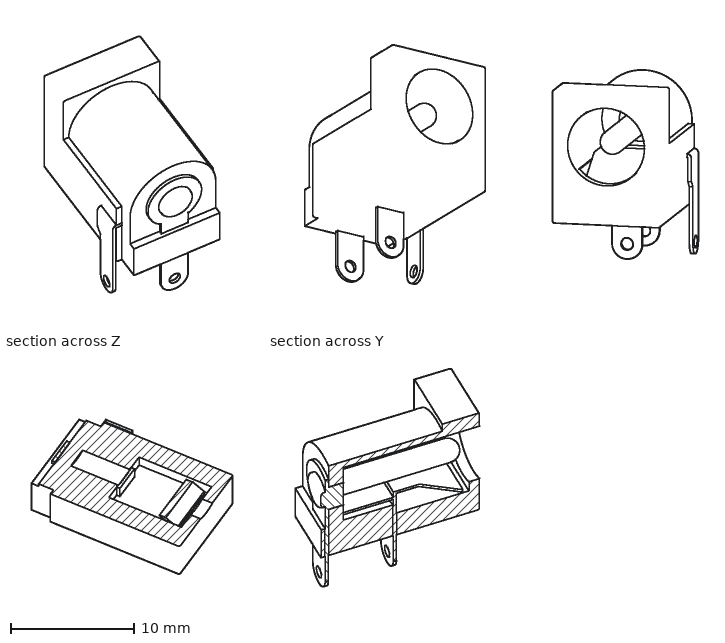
import cadquery as cq
import math


front_height = 11.0
front_depth = 3.3
base_width = 9.0
base_length = 12.0
edge_radius = 0.2
barrel_radius = 4.0
barrel_axis_z = 6.4
barrel_length = 13.35
foot_length = 14.0
foot_height = 3.2
barrel_width = 2 * barrel_radius

bore_radius = 3.2
bore_axis_z = 6.5
bore_depth = 12.0

sheet = 0.3
terminal_bottom_z = -4.1
terminal_hole_radius = 0.5
pin_terminal_width = 2.5

pin_radius = 1.0
pin_tip_x = 1.3
shoulder_radius = 1.75
plate_radius = 2.5
rivet_radius = 1.5
rivet_end_x = 14.05
rivet_rounding = 0.25
plate_back_x = barrel_length + sheet

leaf_width = 4.5
leaf_top_z = 5.0
leaf_tip_x = 1.47
leaf_tip_z = 2.87
leaf_angle = math.radians(29)
leaf_bend_radius = 0.8
sleeve_terminal_x = 7.33

tab_start_x = 9.5
tab_end_x = 12.0
tab_leg_width = 2.0
tab_step_top_z = 2.1
tab_outer_y = -4.85
tab_top_z = 4.4
tab_bend_radius = 0.4

pocket_width = 5.0
pocket_front_x = 0.95
cross_strip_end_y = pocket_width / 2


def box(x_range, y_range, z_range):
    """Block that fills the given coordinate ranges."""
    sizes = [high - low for low, high in (x_range, y_range, z_range)]
    corner = (x_range[0], y_range[0], z_range[0])
    return cq.Workplane("XY").box(*sizes, centered=False).translate(corner)


def centred(width):
    """Y range of a feature centred on the mid-plane."""
    return (-width / 2, width / 2)


def x_cylinder(radius, axis_z, start_x, end_x):
    """Cylinder along X on the mid-plane."""
    return (
        cq.Workplane("YZ", origin=(start_x, 0, axis_z))
        .circle(radius)
        .extrude(end_x - start_x)
    )


def pin_terminal(front_x, top_z):
    """Solder terminal across X with a round end and a hole."""
    end_radius = pin_terminal_width / 2
    hole_z = terminal_bottom_z + end_radius
    strip = box((front_x, front_x + sheet), centred(pin_terminal_width), (hole_z, top_z))
    round_end = x_cylinder(end_radius, hole_z, front_x, front_x + sheet)
    hole = x_cylinder(terminal_hole_radius, hole_z, front_x, front_x + sheet)
    return strip.union(round_end).cut(hole)


def make_centre_contact():
    dome_x = pin_tip_x + pin_radius
    dome = cq.Workplane("XY").sphere(pin_radius).translate((dome_x, 0, bore_axis_z))
    pin = x_cylinder(pin_radius, bore_axis_z, dome_x, barrel_length)
    shoulder = x_cylinder(shoulder_radius, bore_axis_z, bore_depth, barrel_length)
    plate = x_cylinder(plate_radius, bore_axis_z, barrel_length, plate_back_x)
    terminal = pin_terminal(barrel_length, bore_axis_z)
    rivet = x_cylinder(rivet_radius, bore_axis_z, plate_back_x, rivet_end_x)
    rivet = rivet.faces(">X").edges().fillet(rivet_rounding)
    return pin.union(dome).union(shoulder).union(plate).union(terminal).union(rivet)


def make_leaf():
    """Leaf that climbs from its tip, bends level and runs back to the terminal."""
    sine = math.sin(leaf_angle)
    cosine = math.cos(leaf_angle)
    inner_radius = leaf_bend_radius - sheet
    bend_z = leaf_top_z - leaf_bend_radius
    slope_end_z = bend_z + leaf_bend_radius * cosine
    slope_end_x = leaf_tip_x + (slope_end_z - leaf_tip_z) / math.tan(leaf_angle)
    bend_x = slope_end_x + leaf_bend_radius * sine
    back_x = sleeve_terminal_x + sheet

    def on_bend(radius, angle):
        return (bend_x - radius * math.sin(angle), bend_z + radius * math.cos(angle))

    return (
        cq.Workplane("XZ", origin=(0, leaf_width / 2, 0))
        .moveTo(leaf_tip_x, leaf_tip_z)
        .lineTo(*on_bend(leaf_bend_radius, leaf_angle))
        .threePointArc(on_bend(leaf_bend_radius, leaf_angle / 2), on_bend(leaf_bend_radius, 0))
        .lineTo(back_x, leaf_top_z)
        .lineTo(back_x, leaf_top_z - sheet)
        .lineTo(*on_bend(inner_radius, 0))
        .threePointArc(on_bend(inner_radius, leaf_angle / 2), on_bend(inner_radius, leaf_angle))
        .lineTo(leaf_tip_x, leaf_tip_z - sheet / cosine)
        .close()
        .extrude(leaf_width)
    )


def make_side_tab():
    """Cross strip below the bore, bent down into a solder tab beside the housing."""
    end_radius = tab_leg_width / 2
    end_z = terminal_bottom_z + end_radius
    end_x = tab_end_x - end_radius
    leg_start_x = tab_end_x - tab_leg_width
    step = leg_start_x - tab_start_x
    strip_bottom_z = tab_top_z - sheet

    bent_strip = box(
        (tab_start_x, tab_end_x), (tab_outer_y, cross_strip_end_y), (terminal_bottom_z, tab_top_z)
    )
    bent_strip = bent_strip.edges("|X and <Y and >Z").fillet(tab_bend_radius)
    inside = box(
        (tab_start_x, tab_end_x),
        (tab_outer_y + sheet, cross_strip_end_y),
        (terminal_bottom_z, strip_bottom_z),
    )
    inside = inside.edges("|X and <Y and >Z").fillet(tab_bend_radius - sheet)
    bent_strip = bent_strip.cut(inside)

    outline = (
        cq.Workplane("XZ", origin=(0, cross_strip_end_y, 0))
        .moveTo(tab_start_x, tab_top_z)
        .lineTo(tab_start_x, tab_step_top_z)
        .lineTo(leg_start_x, tab_step_top_z - step)
        .lineTo(leg_start_x, end_z)
        .threePointArc((end_x, terminal_bottom_z), (tab_end_x, end_z))
        .lineTo(tab_end_x, tab_top_z)
        .close()
        .extrude(cross_strip_end_y - tab_outer_y)
    )
    hole = (
        cq.Workplane("XZ", origin=(end_x, cross_strip_end_y, end_z))
        .circle(terminal_hole_radius)
        .extrude(cross_strip_end_y - tab_outer_y)
    )
    return bent_strip.intersect(outline).cut(hole)


def make_sleeve_contact():
    terminal = pin_terminal(sleeve_terminal_x, leaf_top_z)
    bridge = box(
        (sleeve_terminal_x, tab_start_x), centred(leaf_width), (tab_top_z - sheet, tab_top_z)
    )
    return make_leaf().union(terminal).union(bridge).union(make_side_tab())


def make_housing():
    body = box((0, base_length), centred(base_width), (0, front_height))
    body = body.edges("<X or |X").fillet(edge_radius)
    body = body.cut(
        box((front_depth, base_length), centred(base_width), (barrel_axis_z, front_height))
    )
    barrel = x_cylinder(barrel_radius, barrel_axis_z, front_depth, barrel_length)
    rear = box((front_depth, barrel_length), centred(barrel_width), (0, barrel_axis_z))
    foot = box((base_length, foot_length), centred(barrel_width), (0, foot_height))
    body = body.union(barrel).union(rear).union(foot)

    bore = x_cylinder(bore_radius, bore_axis_z, 0, bore_depth)
    leaf_pocket = box(
        (pocket_front_x, sleeve_terminal_x + sheet),
        centred(pocket_width),
        (leaf_tip_z - sheet / math.cos(leaf_angle), tab_top_z),
    )
    return body.cut(bore).cut(leaf_pocket)


centre_contact = make_centre_contact()
sleeve_contact = make_sleeve_contact()

housing = make_housing().cut(centre_contact).cut(sleeve_contact)

bodies = (housing, centre_contact, sleeve_contact)
result = cq.Compound.makeCompound([body.solids().val() for body in bodies])